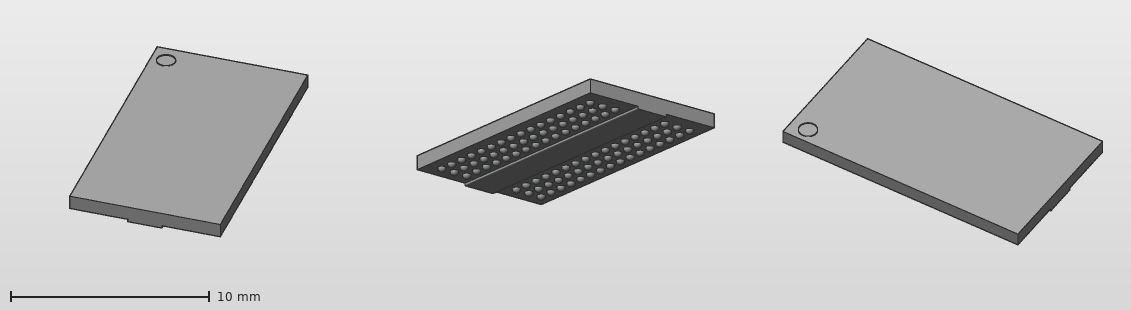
import cadquery as cq

body_width = 8.0
body_length = 14.0
total_height = 1.0
body_thickness = 0.75

rib_width = 1.83
rib_height = 0.14
rib_edge_radius = 0.04

ball_diameter = 0.45
ball_radius = ball_diameter / 2
ball_pitch = body_width / 10
ball_rows = 16
bank_columns = (2, 3, 4)

marker_diameter = 0.98
marker_depth = 0.05
marker_side_inset = ball_pitch
marker_end_inset = 1.0

body_bottom = total_height - body_thickness


def plate(width, thickness, bottom):
    """Full-length rectangular slab, centred in X and Y, resting at the given height."""
    slab = cq.Workplane("XY").workplane(offset=bottom)
    return slab.rect(width, body_length).extrude(thickness)


def ball_centres():
    """X and Y of every ball in the grid."""
    first_row = -(ball_rows - 1) / 2 * ball_pitch
    centres = []
    for column in bank_columns:
        for row in range(ball_rows):
            y = first_row + row * ball_pitch
            centres.append((-column * ball_pitch, y))
            centres.append((column * ball_pitch, y))
    return centres


def solder_balls():
    """Spheres whose lowest points lie at Z = 0 and whose tops sink into the body."""
    grid = cq.Workplane("XY").workplane(offset=ball_radius).pushPoints(ball_centres())
    return grid.sphere(ball_radius, combine=False)


def pin_one_marker():
    """Shallow disc to remove near the -X, +Y corner of the top face."""
    x = -body_width / 2 + marker_side_inset
    y = body_length / 2 - marker_end_inset
    floor = cq.Workplane("XY").workplane(offset=total_height - marker_depth)
    return floor.center(x, y).circle(marker_diameter / 2).extrude(marker_depth)


body = plate(body_width, body_thickness, body_bottom)
rib = plate(rib_width, rib_height, body_bottom - rib_height)
rib = rib.edges("|Y and <Z").fillet(rib_edge_radius)

result = body.union(rib).union(solder_balls()).cut(pin_one_marker())